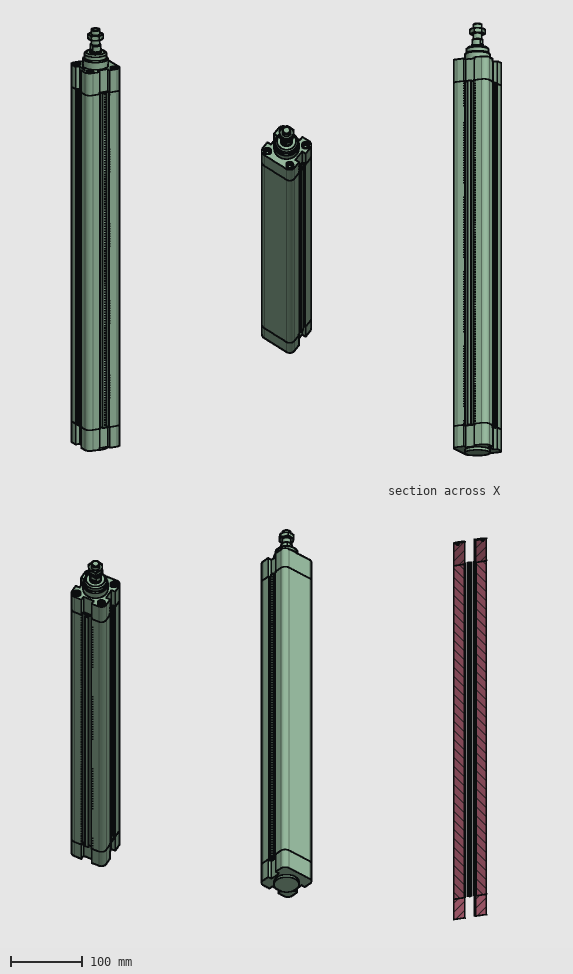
import cadquery as cq
import math

total_height = 613.0
width = 54.0
half_width = width / 2
corner_radius = 8.0

rear_cap_bottom = 4.0
rear_cap_top = 35.0
front_cap_bottom = 526.5
front_cap_top = 559.0

recess_width = 16.0
recess_depth = 6.0

screw_spacing = 38.0
counterbore_diameter = 10.5
counterbore_depth = 2.0
clearance_diameter = 10.0
clearance_depth = 3.0
screw_hole_diameter = 6.0
screw_hole_depth = 6.0
drill_point_angle = 118

spigot_diameter = 35.0
spigot_edge_height = 10.5
nose_diameter = 31.0
nose_base_height = 12.0
nose_edge_height = 18.0
nose_height = 20.0
nose_top_diameter = 26.5

rib_width = 5.5
groove_width = 4.0
groove_depth = 2.0
cavity_width = 8.0
cavity_depth = 3.5

rod_diameter = 16.0
rod_step_level = 582.0
shank_diameter = 15.5
flat_distance = 13.0
flat_bottom = 583.5
shoulder_top = 591.0
shoulder_chamfer = 1.0
thread_diameter = 12.0
thread_chamfer = 1.0

nut_across_flats = 19.0
nut_bottom = 599.0
nut_height = 7.0
nut_chamfer_angle = 30

channel_sides = (0, 90, 270)


def cylinder(diameter, bottom, top):
    """Upright cylinder on the main axis between two levels."""
    return cq.Workplane("XY").workplane(offset=bottom).circle(diameter / 2).extrude(top - bottom)


def square_bar(bottom, top):
    """Square bar with rounded corners between two levels."""
    bar = cq.Workplane("XY").workplane(offset=bottom).rect(width, width).extrude(top - bottom)
    return bar.edges("|Z").fillet(corner_radius)


def cut_side_channels(bar, centre, channel_width, start_depth, end_depth):
    """Cut a full-height channel into the -Y, +X and -X sides, shifted sideways by centre."""
    channel_depth = end_depth - start_depth
    channel = cq.Workplane("XY").box(channel_width, channel_depth, total_height, centered=(True, False, False))
    channel = channel.translate((centre, start_depth - half_width, 0))
    for angle in channel_sides:
        bar = bar.cut(channel.rotate((0, 0, 0), (0, 0, 1), angle))
    return bar


def cap_block(bottom, top):
    """Body of a cap: square bar with a wide recess in three sides."""
    return cut_side_channels(square_bar(bottom, top), 0, recess_width, 0, recess_depth)


def front_boss():
    """Spigot with a bevelled edge, stepping up to a narrower nose with a bevelled edge."""
    profile = [
        (0, 0),
        (spigot_diameter / 2, 0),
        (spigot_diameter / 2, spigot_edge_height),
        (nose_diameter / 2, nose_base_height),
        (nose_diameter / 2, nose_edge_height),
        (nose_top_diameter / 2, nose_height),
        (0, nose_height),
    ]
    boss = cq.Workplane("XZ").polyline(profile).close().revolve(360, (0, 0, 0), (0, 1, 0))
    return boss.translate((0, 0, front_cap_top))


def screw_hole():
    """Stepped blind hole with a conical end, as a solid to cut; its mouth is at Z = 0."""
    point_depth = screw_hole_diameter / 2 / math.tan(math.radians(drill_point_angle / 2))
    profile = [
        (0, 0),
        (counterbore_diameter / 2, 0),
        (counterbore_diameter / 2, -counterbore_depth),
        (clearance_diameter / 2, -counterbore_depth),
        (clearance_diameter / 2, -clearance_depth),
        (screw_hole_diameter / 2, -clearance_depth),
        (screw_hole_diameter / 2, -screw_hole_depth),
        (0, -screw_hole_depth - point_depth),
    ]
    return cq.Workplane("XZ").polyline(profile).close().revolve(360, (0, 0, 0), (0, 1, 0))


def make_rear_cap():
    """Rear cap with a short spigot below it."""
    return cap_block(rear_cap_bottom, rear_cap_top).union(cylinder(spigot_diameter, 0, rear_cap_bottom))


def make_front_cap():
    """Front cap with its boss, four screw holes and the bore for the rod."""
    cap = cap_block(front_cap_bottom, front_cap_top).union(front_boss())
    hole = screw_hole()
    for x in (-screw_spacing / 2, screw_spacing / 2):
        for y in (-screw_spacing / 2, screw_spacing / 2):
            cap = cap.cut(hole.translate((x, y, front_cap_top)))
    return cap.cut(cylinder(rod_diameter, front_cap_bottom, total_height))


def make_barrel():
    """Bar with a pair of T-shaped grooves, wider inside than at the mouth, in three sides."""
    barrel = square_bar(rear_cap_top, front_cap_bottom)
    groove_centre = (rib_width + groove_width) / 2
    for centre in (-groove_centre, groove_centre):
        barrel = cut_side_channels(barrel, centre, groove_width, 0, groove_depth)
        barrel = cut_side_channels(barrel, centre, cavity_width, groove_depth, cavity_depth)
    return barrel


def make_rod():
    """Rod with a slightly thinner shank, two wrench flats on it and a threaded end."""
    rod = cylinder(rod_diameter, front_cap_bottom, rod_step_level)
    shank = cylinder(shank_diameter, rod_step_level, shoulder_top).faces(">Z").chamfer(shoulder_chamfer)
    slab = cq.Workplane("XY").workplane(offset=flat_bottom).rect(shank_diameter, flat_distance)
    slab = slab.extrude(shoulder_top - flat_bottom)
    shank = shank.intersect(slab.union(cylinder(shank_diameter, rod_step_level, flat_bottom)))
    thread = cylinder(thread_diameter, shoulder_top, total_height).faces(">Z").chamfer(thread_chamfer)
    return rod.union(shank).union(thread)


def make_nut():
    """Hexagon nut with conical bevels on the corners of both ends."""
    flat_radius = nut_across_flats / 2
    corner_reach = flat_radius / math.cos(math.pi / 6)
    bevel_height = (corner_reach - flat_radius) * math.tan(math.radians(nut_chamfer_angle))
    bevel_profile = [
        (0, 0),
        (flat_radius, 0),
        (corner_reach, bevel_height),
        (corner_reach, nut_height - bevel_height),
        (flat_radius, nut_height),
        (0, nut_height),
    ]
    bevelled_disc = cq.Workplane("XZ").polyline(bevel_profile).close().revolve(360, (0, 0, 0), (0, 1, 0))
    nut = cq.Workplane("XY").polygon(6, 2 * corner_reach).extrude(nut_height)
    nut = nut.intersect(bevelled_disc).translate((0, 0, nut_bottom))
    return nut.cut(cylinder(thread_diameter, nut_bottom, nut_bottom + nut_height))


rear_cap = make_rear_cap()
barrel = make_barrel()
front_cap = make_front_cap()
rod = make_rod()
nut = make_nut()

result = cq.Compound.makeCompound([rear_cap.val(), barrel.val(), front_cap.val(), rod.val(), nut.val()])